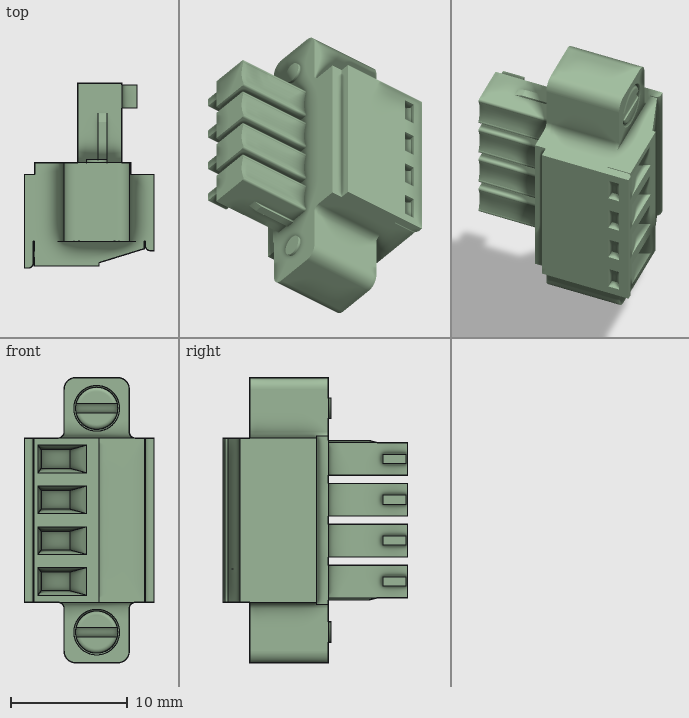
import cadquery as cq

width = 11.1
depth = 15.8
height = 24.4
left_x = -width / 2
right_x = width / 2
front_y = -depth / 2
back_y = depth / 2

contact_count = 4
pitch = 3.5
contact_heights = [(i - (contact_count - 1) / 2) * pitch for i in range(contact_count)]

block_height = 14.05
block_back_y = 1.12
shoulder_y = 0.12
shoulder_left_x = -4.65
shoulder_right_x = 3.56

flap_thickness = 0.75
slit_width = 0.07
slit_end_y = -5.6
flap_tip_radius = 0.41
right_flap_front_y = -6.42
nose_front_y = -7.73
nose_edge_x = 0.85
slope_start_y = -7.45
slope_end_y = -6.25
nose_left_x = left_x + flap_thickness + slit_width
nose_right_x = right_x - flap_thickness - slit_width

flange_x = 0.63
flange_width = 5.59
flange_front_y = slit_end_y
flange_corner_radius = 1.0
flange_root_radius = 0.51

funnel_mouth_left_x = -4.4
funnel_mouth_right_x = -0.25
funnel_mouth_height = 2.37
funnel_floor_left_x = -4.1
funnel_floor_right_x = -1.65
funnel_floor_height = 1.59
funnel_floor_y = slit_end_y

window_back_y = -6.05
window_front_y = -7.03
window_height = 2.07
latch_radius = 1.25
latch_axis_x = -4.17
latch_axis_y = -7.6
latch_front_y = -6.95
latch_height = 1.6

plug_left_x = -1.0
plug_right_x = 2.78
plug_height = 2.8
lip_radius = 0.17
lip_height = 0.3
groove_sagitta = 0.22

tab_right_x = 4.1
tab_front_y = 5.78
tab_back_y = 7.75
tab_height = 0.78

rib_left_x = 0.75
rib_right_x = 1.51
rib_ramp_y = 4.59
rib_back_y = 5.32
rib_rise = 0.2

screw_z = 9.56
screw_head_diameter = 3.6
screw_flat_diameter = 2.88
screw_head_length = 1.46
screw_shank_diameter = 1.78
screw_back_y = 1.37
slot_width = 0.8
slot_depth = 0.85
hole_mouth_diameter = 3.9


def box_between(x0, x1, y0, y1, z0, z1):
    """Box given by its limits along each axis."""
    return cq.Workplane("XY").box(x1 - x0, y1 - y0, z1 - z0, centered=False).translate((x0, y0, z0))


def block():
    """Main block: one outline in XY, extruded along Z."""
    left_slit_x = left_x + flap_thickness
    right_slit_x = right_x - flap_thickness
    outline = (
        cq.Workplane("XY", origin=(0, 0, -block_height / 2))
        .moveTo(left_x, block_back_y)
        .lineTo(left_x, front_y)
        .lineTo(left_slit_x - flap_tip_radius, front_y)
        .tangentArcPoint((left_slit_x, front_y + flap_tip_radius), relative=False)
        .lineTo(left_slit_x, slit_end_y)
        .lineTo(nose_left_x, slit_end_y)
        .lineTo(nose_left_x, nose_front_y)
        .lineTo(nose_edge_x, nose_front_y)
        .lineTo(nose_edge_x, slope_start_y)
        .lineTo(nose_right_x, slope_end_y)
        .lineTo(nose_right_x, slit_end_y)
        .lineTo(right_slit_x, slit_end_y)
        .lineTo(right_slit_x, right_flap_front_y + flap_tip_radius)
        .tangentArcPoint((right_slit_x + flap_tip_radius, right_flap_front_y), relative=False)
        .lineTo(right_x, right_flap_front_y)
        .lineTo(right_x, block_back_y)
        .close()
    )
    return outline.extrude(block_height)


def flange():
    """Upper flange, with rounded outer corners and flared roots on the block."""
    flange_left_x = flange_x - flange_width / 2
    flange_right_x = flange_x + flange_width / 2
    root_z = block_height / 2
    top_z = height / 2
    outline = (
        cq.Workplane("XZ", origin=(0, flange_front_y, 0))
        .moveTo(flange_right_x + flange_root_radius, root_z)
        .lineTo(flange_left_x - flange_root_radius, root_z)
        .radiusArc((flange_left_x, root_z + flange_root_radius), -flange_root_radius)
        .lineTo(flange_left_x, top_z - flange_corner_radius)
        .tangentArcPoint((flange_left_x + flange_corner_radius, top_z), relative=False)
        .lineTo(flange_right_x - flange_corner_radius, top_z)
        .tangentArcPoint((flange_right_x, top_z - flange_corner_radius), relative=False)
        .lineTo(flange_right_x, root_z + flange_root_radius)
        .tangentArcPoint((flange_right_x + flange_root_radius, root_z), relative=False)
        .close()
    )
    return outline.extrude(flange_front_y - block_back_y)


def shoulders():
    """Cutters for the stepped rear corners of the block."""
    z_limits = (-height / 2, height / 2)
    left = box_between(left_x, shoulder_left_x, shoulder_y, block_back_y, *z_limits)
    right = box_between(shoulder_right_x, right_x, shoulder_y, block_back_y, *z_limits)
    return left.union(right)


def funnel(z):
    """Tapered wire entry, from the nose front back to a flat floor."""
    mouth_x = (funnel_mouth_left_x + funnel_mouth_right_x) / 2
    floor_x = (funnel_floor_left_x + funnel_floor_right_x) / 2
    return (
        cq.Workplane("XZ", origin=(mouth_x, nose_front_y, z))
        .rect(funnel_mouth_right_x - funnel_mouth_left_x, funnel_mouth_height)
        .workplane(offset=nose_front_y - funnel_floor_y)
        .center(floor_x - mouth_x, 0)
        .rect(funnel_floor_right_x - funnel_floor_left_x, funnel_floor_height)
        .loft(ruled=True)
    )


def latch_window(z):
    """Cutter through the left flap."""
    z_limits = (z - window_height / 2, z + window_height / 2)
    return box_between(left_x, nose_left_x, window_front_y, window_back_y, *z_limits)


def latch_nose(z):
    """Round-backed catch standing on the left side of the nose, inside its window."""
    z_limits = (z - latch_height / 2, z + latch_height / 2)
    space = box_between(left_x, nose_left_x, latch_front_y, window_back_y, *z_limits)
    roller = (
        cq.Workplane("XY", origin=(latch_axis_x, latch_axis_y, z_limits[0]))
        .circle(latch_radius)
        .extrude(latch_height)
    )
    return space.intersect(roller)


def plug_finger(z):
    """Plug finger with a shallow groove between two round lips, and its locking tab."""
    top_z = plug_height / 2
    lip_x = plug_left_x + lip_radius
    lip_middle_z = top_z - lip_radius
    lip_end_z = top_z - lip_height
    lip_end_x = lip_x - (lip_radius**2 - (lip_height - lip_radius) ** 2) ** 0.5
    finger = (
        cq.Workplane("XZ", origin=(0, block_back_y, z))
        .moveTo(plug_right_x, -top_z)
        .lineTo(plug_right_x, top_z)
        .lineTo(lip_x, top_z)
        .threePointArc((plug_left_x, lip_middle_z), (lip_end_x, lip_end_z))
        .threePointArc((lip_end_x + groove_sagitta, 0), (lip_end_x, -lip_end_z))
        .threePointArc((plug_left_x, -lip_middle_z), (lip_x, -top_z))
        .close()
        .extrude(block_back_y - back_y)
    )
    tab_z_limits = (z - tab_height / 2, z + tab_height / 2)
    return finger.union(box_between(plug_right_x, tab_right_x, tab_front_y, tab_back_y, *tab_z_limits))


def ramped_rib():
    """Rib on the upper face of the top plug finger, ramped at its rear end."""
    base_z = contact_heights[-1] + plug_height / 2
    return (
        cq.Workplane("YZ", origin=(rib_left_x, 0, 0))
        .moveTo(block_back_y, base_z)
        .lineTo(rib_back_y, base_z)
        .lineTo(rib_ramp_y, base_z + rib_rise)
        .lineTo(block_back_y, base_z + rib_rise)
        .close()
        .extrude(rib_right_x - rib_left_x)
    )


def screw_blank(z):
    """Stepped screw envelope without head rounding or slot; also cuts the screw hole."""
    front = cq.Workplane("XZ", origin=(flange_x, flange_front_y, z))
    head = front.circle(screw_head_diameter / 2).extrude(-screw_head_length)
    shank = front.circle(screw_shank_diameter / 2).extrude(flange_front_y - screw_back_y)
    return head.union(shank)


def screw_hole(z):
    """Fitted hole for a screw, with a chamfered mouth."""
    mouth_chamfer = (hole_mouth_diameter - screw_head_diameter) / 2
    mouth = (
        cq.Workplane("XZ", origin=(flange_x, flange_front_y, z))
        .circle(hole_mouth_diameter / 2)
        .workplane(offset=-mouth_chamfer)
        .circle(screw_head_diameter / 2)
        .loft(ruled=True)
    )
    return screw_blank(z).union(mouth)


def flange_screw(z):
    """Slotted screw with a rounded head."""
    head_rounding = (screw_head_diameter - screw_flat_diameter) / 2
    slot = box_between(
        flange_x - screw_head_diameter / 2,
        flange_x + screw_head_diameter / 2,
        flange_front_y,
        flange_front_y + slot_depth,
        z - slot_width / 2,
        z + slot_width / 2,
    )
    return screw_blank(z).faces("<Y").edges().fillet(head_rounding).cut(slot)


def connector_housing():
    """Block, flanges, plug fingers and latch noses in one body."""
    upper_flange = flange()
    upper_rib = ramped_rib()
    body = block().union(upper_flange).union(upper_flange.mirror("XY")).cut(shoulders())
    for z in contact_heights:
        body = body.cut(funnel(z)).cut(latch_window(z))
        body = body.union(latch_nose(z)).union(plug_finger(z))
    body = body.union(upper_rib).union(upper_rib.mirror("XY"))
    for z in (-screw_z, screw_z):
        body = body.cut(screw_hole(z))
    return body


housing = connector_housing()
screws = [flange_screw(z) for z in (-screw_z, screw_z)]

result = cq.Compound.makeCompound([housing.val()] + [screw.val() for screw in screws])